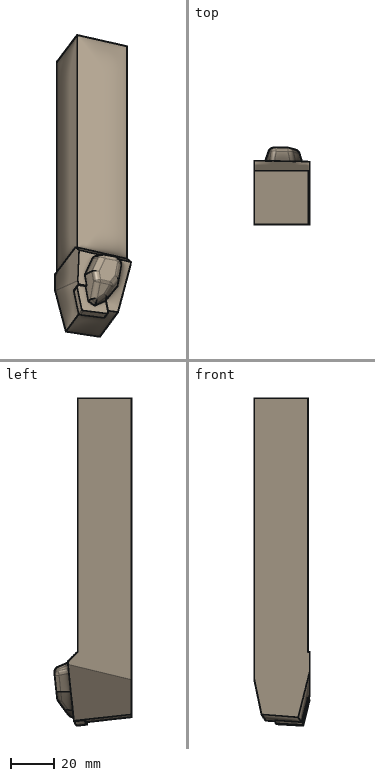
import cadquery as cq
import math

TOOL_LENGTH = 151.4
SHANK_SIZE = 25.0
HEAD_WIDTH = 25.7
HEAD_TOP = 34.2
RAMP_DEPTH = 4.5
RAKE_LEVEL = 26.6
RAKE_RISE = 0.1
RAKE_FALL = 0.02

LEAN_X = 0.073
LEAN_Z = -0.11
LEFT_FLANK_ANGLE = 11.8
RIGHT_FLANK_ANGLE = 14.2
NOSE_LEFT = (3.3, 5.3)
NOSE_RIGHT = (20.3, 4.1)

INSERT_ANGLE = 100.0
INSERT_CIRCLE = 12.7
INSERT_THICKNESS = 4.7
INSERT_TURN = 3.3
INSERT_NOSE_RADIUS = 0.8
INSERT_TIP = (22.7, 25.1, -0.03)

CLAMP_FOOT = [
    (7.5, 30.1),
    (4.2, 26.0),
    (5.6, 15.7),
    (11.2, 7.0),
    (16.6, 3.3),
    (20.0, 5.1),
    (22.9, 18.2),
    (18.6, 29.7),
]
CLAMP_HEIGHT = 6.8
CLAMP_SINK = 1.5
CLAMP_DRAFT = 17.0
CLAMP_CORNER_RADIUS = 3.0
CLAMP_EDGE_RADIUS = 2.9
CLAMP_SLOPE_ANGLE = 30.0
CLAMP_SLOPE_START = 12.1

REACH = 2 * TOOL_LENGTH


def nose_plane(origin):
    """Plane square to the leaning direction, with X to the right and Y up the tool."""
    return cq.Plane(origin=origin, xDir=(1, -LEAN_X, 0), normal=(-LEAN_X, -1, -LEAN_Z))


def rake_plane(offset=0.0):
    """Plane of the rake face, facing out of the tool, with X to the left and Y up the tool."""
    return cq.Plane(
        origin=(0, RAKE_LEVEL + offset, 0), xDir=(-1, RAKE_FALL, 0), normal=(RAKE_FALL, 1, -RAKE_RISE)
    )


def make_shank():
    return cq.Workplane("XY").box(SHANK_SIZE, SHANK_SIZE, TOOL_LENGTH, centered=False)


def make_head():
    """Wider block with a ramp, trimmed to the rake face."""
    depth = SHANK_SIZE + 2 * RAMP_DEPTH
    outline = [
        (0, 0),
        (depth, 0),
        (depth, HEAD_TOP + SHANK_SIZE - depth),
        (SHANK_SIZE, HEAD_TOP),
        (0, HEAD_TOP),
    ]
    block = cq.Workplane("YZ").polyline(outline).close().extrude(HEAD_WIDTH)
    above_rake = cq.Workplane(rake_plane()).rect(REACH, REACH).extrude(REACH)
    return block.cut(above_rake)


def make_flank_wedge():
    """Prism along the leaning direction whose sides are the two flanks and the end face."""
    left_spread = REACH * math.tan(math.radians(LEFT_FLANK_ANGLE))
    right_spread = REACH * math.tan(math.radians(RIGHT_FLANK_ANGLE))
    outline = [
        NOSE_LEFT,
        NOSE_RIGHT,
        (NOSE_RIGHT[0] + right_spread, NOSE_RIGHT[1] + REACH),
        (NOSE_LEFT[0] - left_spread, NOSE_LEFT[1] + REACH),
    ]
    return cq.Workplane(nose_plane((0, 0, 0))).polyline(outline).close().extrude(REACH, both=True)


def make_insert_prism(thickness_below, height_above=0.0):
    """Rhombic prism reaching below and above the insert's top face."""
    edge = INSERT_CIRCLE / math.sin(math.radians(INSERT_ANGLE))
    end_direction = math.radians(180 - INSERT_TURN)
    side_direction = end_direction - math.radians(INSERT_ANGLE)
    end_step = (edge * math.cos(end_direction), edge * math.sin(end_direction))
    side_step = (edge * math.cos(side_direction), edge * math.sin(side_direction))
    outline = [(0, 0), side_step, (side_step[0] + end_step[0], side_step[1] + end_step[1]), end_step]
    return (
        cq.Workplane(nose_plane(INSERT_TIP))
        .workplane(offset=-height_above)
        .polyline(outline)
        .close()
        .extrude(thickness_below + height_above)
        .edges(cq.selectors.ParallelDirSelector(cq.Vector(LEAN_X, 1, LEAN_Z)))
        .fillet(INSERT_NOSE_RADIUS)
    )


def make_clamp():
    """Tapered finger with a rounded upper edge and a slope down to its tip."""
    outline = [(-x, z) for x, z in CLAMP_FOOT]
    finger = (
        cq.Workplane(rake_plane(-CLAMP_SINK))
        .polyline(outline)
        .close()
        .extrude(CLAMP_HEIGHT + CLAMP_SINK, taper=CLAMP_DRAFT)
    )
    slope_workplane = (
        cq.Workplane(rake_plane(CLAMP_HEIGHT))
        .center(0, CLAMP_SLOPE_START)
        .transformed(rotate=(CLAMP_SLOPE_ANGLE, 0, 0))
    )
    finger = finger.cut(slope_workplane.rect(REACH, REACH).extrude(REACH))
    finger = finger.faces(">Z").edges("<X or >X").fillet(CLAMP_CORNER_RADIUS)
    finger = finger.faces("<X").edges(">Z").fillet(CLAMP_CORNER_RADIUS)
    top_edges = finger.faces(">Y").edges()
    slope_edges = finger.faces(cq.selectors.ParallelDirSelector(slope_workplane.plane.zDir)).edges()
    return top_edges.add(slope_edges).fillet(CLAMP_EDGE_RADIUS)


def make_holder(insert_body):
    """Shank, head and clamp in one piece, with a seat that fits the insert and opens at the rake face."""
    seat = make_insert_prism(INSERT_THICKNESS, RAMP_DEPTH)
    body = make_shank().union(make_head())
    body = body.intersect(make_flank_wedge()).cut(seat)
    return body.union(make_clamp()).cut(insert_body)


insert = make_insert_prism(INSERT_THICKNESS)
holder = make_holder(insert)

result = cq.Compound.makeCompound([holder.val(), insert.val()])